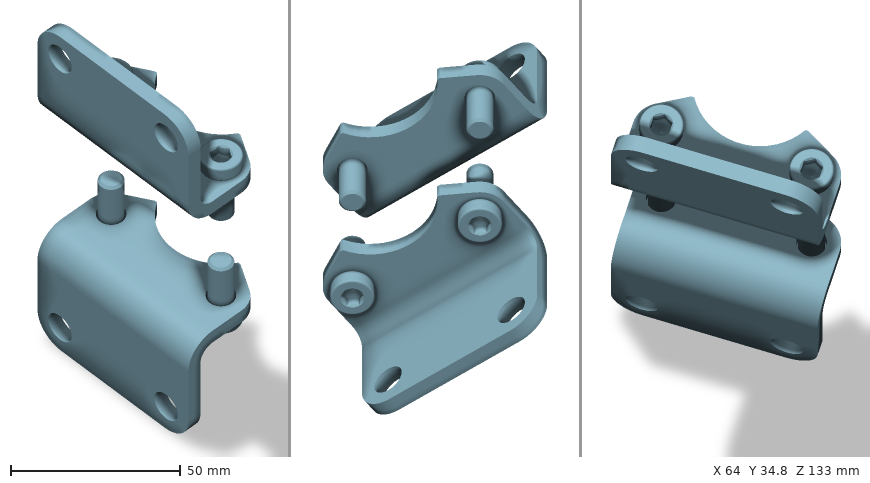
import cadquery as cq
import math

overall_height = 133.0
bracket_width = 64.0
wall_height = 41.5
outer_bend_radius = 10.0
inner_bend_radius = outer_bend_radius / 2
sheet = outer_bend_radius - inner_bend_radius
shelf_depth = 34.8
wall_front = -shelf_depth / 2
shelf_end = shelf_depth / 2

corner_radius = 10.0
mount_hole_diameter = 10.0
mount_hole_spacing = 45.0
mount_hole_edge = 9.5

screw_spacing = 46.5
screw_x = screw_spacing / 2
screw_setback = 21.8
screw_y = wall_front + screw_setback
screw_hole_diameter = 9.0
shelf_corner_radius = bracket_width / 2 - screw_x
shelf_taper_angle = math.radians(30)
saddle_radius = 20.0
saddle_setback = 45.0
saddle_y = wall_front + saddle_setback

shank_diameter = 8.0
shank_length = 20.1
tip_chamfer = 0.8
head_diameter = 13.0
head_height = 5.0
head_rounding = 0.7
socket_flats = 6.0
socket_corners = socket_flats / math.cos(math.pi / 6)
socket_mouth_diameter = 7.2
socket_depth = 3.0
socket_cone_height = 1.5
drill_diameter = 4.0
drill_cone_height = 2.0

wall_top = overall_height / 2
shelf_bottom = wall_top - wall_height
shelf_top = shelf_bottom + sheet


def bent_sheet():
    """L-shaped section with a rounded bend, extruded across the bracket width."""
    bend_y = wall_front + outer_bend_radius
    bend_z = shelf_bottom + outer_bend_radius
    diagonal = math.sqrt(0.5)
    return (
        cq.Workplane("YZ", origin=(-bracket_width / 2, 0, 0))
        .moveTo(wall_front, wall_top)
        .lineTo(wall_front, bend_z)
        .threePointArc(
            (bend_y - outer_bend_radius * diagonal, bend_z - outer_bend_radius * diagonal),
            (bend_y, shelf_bottom),
        )
        .lineTo(shelf_end, shelf_bottom)
        .lineTo(shelf_end, shelf_top)
        .lineTo(bend_y, shelf_top)
        .threePointArc(
            (bend_y - inner_bend_radius * diagonal, bend_z - inner_bend_radius * diagonal),
            (wall_front + sheet, bend_z),
        )
        .lineTo(wall_front + sheet, wall_top)
        .close()
        .extrude(bracket_width)
    )


def shelf_outline():
    """Prism with corners rounded about the screws and tapered sides that meet at x = 0.

    The saddle and the end of the sheet take away the tip of the prism.
    """
    half_width = bracket_width / 2
    tangent_x = screw_x + shelf_corner_radius * math.sin(shelf_taper_angle)
    tangent_y = screw_y + shelf_corner_radius * math.cos(shelf_taper_angle)
    mid_angle = (math.pi / 2 - shelf_taper_angle) / 2
    mid_x = screw_x + shelf_corner_radius * math.cos(mid_angle)
    mid_y = screw_y + shelf_corner_radius * math.sin(mid_angle)
    apex_y = tangent_y + tangent_x * math.tan(shelf_taper_angle)
    return (
        cq.Workplane("XY", origin=(0, 0, shelf_bottom))
        .moveTo(-half_width, wall_front)
        .lineTo(half_width, wall_front)
        .lineTo(half_width, screw_y)
        .threePointArc((mid_x, mid_y), (tangent_x, tangent_y))
        .lineTo(0, apex_y)
        .lineTo(-tangent_x, tangent_y)
        .threePointArc((-mid_x, mid_y), (-half_width, screw_y))
        .close()
        .extrude(wall_height)
    )


def make_bracket():
    """Upper bracket: bent sheet with rounded outline, saddle, screw holes and mounting holes."""
    saddle = cq.Workplane("XY", origin=(0, saddle_y, shelf_bottom)).circle(saddle_radius).extrude(sheet)
    screw_holes = (
        cq.Workplane("XY", origin=(0, screw_y, shelf_bottom))
        .pushPoints([(-screw_x, 0), (screw_x, 0)])
        .circle(screw_hole_diameter / 2)
        .extrude(sheet)
    )
    mount_holes = (
        cq.Workplane("XZ", origin=(0, wall_front, wall_top - mount_hole_edge))
        .pushPoints([(-mount_hole_spacing / 2, 0), (mount_hole_spacing / 2, 0)])
        .circle(mount_hole_diameter / 2)
        .extrude(-sheet)
    )
    rounded_sheet = bent_sheet().edges("|Y and >Z").fillet(corner_radius)
    return rounded_sheet.intersect(shelf_outline()).cut(saddle).cut(screw_holes).cut(mount_holes)


def turned(profile):
    """Solid of revolution about Z from a list of (radius, z) points."""
    return cq.Workplane("XZ").polyline(profile).close().revolve(360, (0, 0), (0, 1))


def make_socket():
    """Hexagonal recess with a chamfered mouth, a conical floor and a pointed drill end."""
    mouth_radius = socket_mouth_diameter / 2
    flat_radius = socket_flats / 2
    corner_reach = socket_corners / 2
    drill_radius = drill_diameter / 2
    mouth_z = head_height - (mouth_radius - flat_radius)
    floor_z = head_height - socket_depth
    drill_z = floor_z - socket_cone_height

    hexagon = (
        cq.Workplane("XY", origin=(0, 0, drill_z))
        .transformed(rotate=(0, 0, 90))
        .polygon(6, socket_corners)
        .extrude(head_height - drill_z)
    )
    cone_limit = turned([
        (0, head_height),
        (corner_reach, head_height),
        (corner_reach, floor_z),
        (drill_radius, drill_z),
        (0, drill_z),
    ])
    drill_point = turned([(0, drill_z), (drill_radius, drill_z), (0, drill_z - drill_cone_height)])
    mouth = turned([(0, head_height), (mouth_radius, head_height), (flat_radius, mouth_z), (0, mouth_z)])
    return hexagon.intersect(cone_limit).union(drill_point).union(mouth)


def make_screw():
    """Socket screw pointing down, with the underside of its head at z = 0."""
    head = cq.Workplane("XY").circle(head_diameter / 2).extrude(head_height).edges().fillet(head_rounding)
    shank = (
        cq.Workplane("XY")
        .circle(shank_diameter / 2)
        .extrude(-shank_length)
        .faces("<Z")
        .chamfer(tip_chamfer)
    )
    return head.union(shank).cut(make_socket())


def upper_and_lower(body):
    """The body and its mirror image below the middle plane."""
    return [body.val(), body.mirror("XY").val()]


brackets = upper_and_lower(make_bracket())
screws = []
for x in (-screw_x, screw_x):
    screws += upper_and_lower(make_screw().translate((x, screw_y, shelf_top)))

result = cq.Compound.makeCompound([*brackets, *screws])